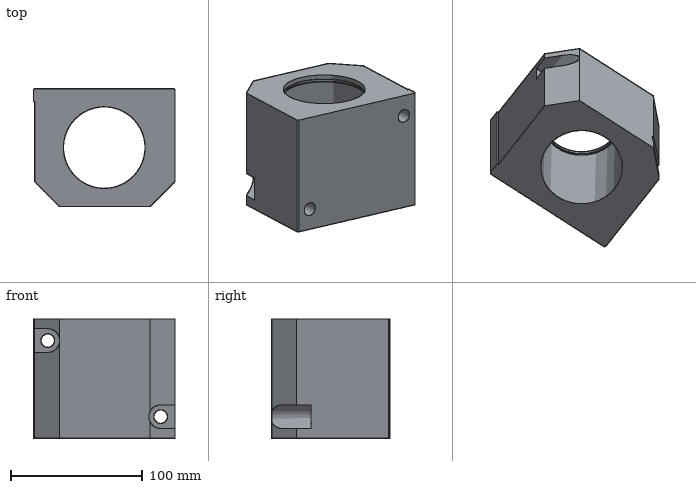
import cadquery as cq

width = 108.0
depth = 90.0
height = 91.0
front_bevel = 19.0
corner_chamfer = 1.0

edge_projection = 1.0
edge_length = 10.0

bore_diameter = 62.0
groove_diameter = 65.0
groove_width = 2.2
groove_inset = 3.5

hole_diameter = 10.11
hole_side_inset = 11.0
hole_end_inset = 16.5
recess_width = 18.0
recess_depth = 30.0

half_width = width / 2
half_depth = depth / 2
half_height = height / 2


def make_block():
    left_side = -half_width + edge_projection
    edge_start = half_depth - edge_length
    outline = [
        (left_side + front_bevel, -half_depth),
        (half_width - front_bevel, -half_depth),
        (half_width, -half_depth + front_bevel),
        (half_width, half_depth - corner_chamfer),
        (half_width - corner_chamfer, half_depth),
        (-half_width + corner_chamfer, half_depth),
        (-half_width, half_depth - corner_chamfer),
        (-half_width, edge_start),
        (left_side, edge_start),
        (left_side, -half_depth + front_bevel),
    ]
    return cq.Workplane("XY").workplane(offset=-half_height).polyline(outline).close().extrude(height)


def make_bore():
    bore = cq.Workplane("XY").circle(bore_diameter / 2).extrude(half_height, both=True)
    groove_bottom = half_height - groove_inset - groove_width
    groove = (
        cq.Workplane("XY")
        .workplane(offset=groove_bottom)
        .circle(groove_diameter / 2)
        .extrude(groove_width)
    )
    return bore.union(groove)


def make_mounting_cut(side, end):
    """Through hole and side-opening recess; side and end are -1 or 1 along X and Z."""
    hole_x = side * (half_width - hole_side_inset)
    hole_z = end * (half_height - hole_end_inset)
    front = cq.Workplane("XZ", origin=(hole_x, -half_depth, hole_z))
    hole = front.circle(hole_diameter / 2).extrude(-depth)
    round_end = front.circle(recess_width / 2).extrude(-recess_depth)
    side_opening = (
        front.center(side * hole_side_inset / 2, 0)
        .rect(hole_side_inset, recess_width)
        .extrude(-recess_depth)
    )
    return hole.union(round_end).union(side_opening)


result = make_block().cut(make_bore())
for side, end in ((-1, 1), (1, -1)):
    result = result.cut(make_mounting_cut(side, end))